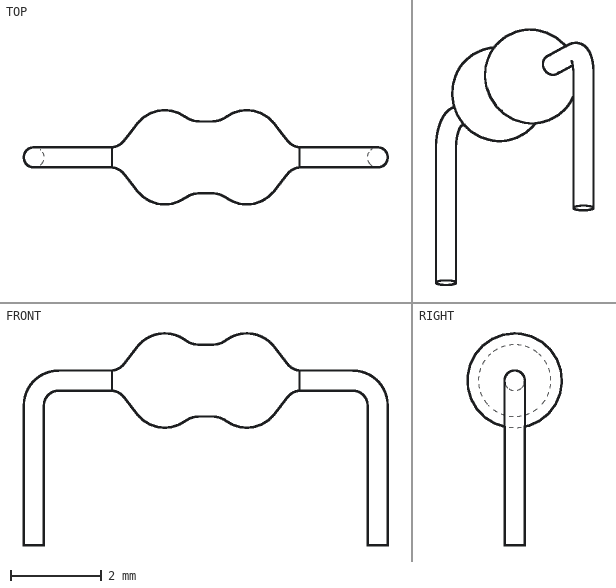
import cadquery as cq
import math

lead_diameter = 0.45
lead_pitch = 7.62
bend_radius = 0.55
lead_drop = 3.65

waist_radius = 0.8
waist_half_length = 0.155
lobe_peak_radius = 1.05
lobe_arc_radius = 0.77
lobe_center_x = 0.91
lobe_crown_half_length = 0.15
lobe_inner_x = 0.455
lobe_outer_x = 1.52
cone_end_x = 1.81
body_half_length = 2.08

lead_radius = lead_diameter / 2
lobe_arc_height = lobe_peak_radius - lobe_arc_radius


def lobe_point(x):
    """Point on the lobe arc at position x along the body axis."""
    return x, lobe_arc_height + math.sqrt(lobe_arc_radius**2 - (x - lobe_center_x) ** 2)


def lobe_arc(outline, end_x):
    """Continue the outline along the lobe arc, which is centred on lobe_center_x, to end_x."""
    start_x = outline.val().endPoint().x
    return outline.threePointArc(lobe_point((start_x + end_x) / 2), lobe_point(end_x))


def make_body():
    cone_start_x, cone_start_radius = lobe_point(lobe_outer_x)
    cone_slope = (lobe_outer_x - lobe_center_x) / (cone_start_radius - lobe_arc_height)
    cone_end_radius = cone_start_radius - (cone_end_x - cone_start_x) * cone_slope

    outline = cq.Workplane("XZ").moveTo(-waist_half_length, waist_radius)
    outline = outline.lineTo(waist_half_length, waist_radius)
    outline = outline.tangentArcPoint(lobe_point(lobe_inner_x), relative=False)
    outline = lobe_arc(outline, lobe_center_x - lobe_crown_half_length)
    outline = lobe_arc(outline, lobe_center_x + lobe_crown_half_length)
    outline = lobe_arc(outline, lobe_outer_x)
    outline = outline.lineTo(cone_end_x, cone_end_radius)
    outline = outline.tangentArcPoint((body_half_length, lead_radius), relative=False)
    outline = outline.lineTo(body_half_length, 0).lineTo(-waist_half_length, 0).close()
    half = outline.revolve(360, (0, 0, 0), (1, 0, 0))
    return half.union(half.mirror("YZ"))


def make_lead(side):
    """Wire from the body end, bent down to its tip; side is -1 or +1 along X."""
    leg_x = lead_pitch / 2
    bend_start_x = leg_x - bend_radius
    bend_middle = bend_radius * math.sin(math.radians(45))
    path = (
        cq.Workplane("XZ")
        .moveTo(side * body_half_length, 0)
        .lineTo(side * bend_start_x, 0)
        .threePointArc(
            (side * (bend_start_x + bend_middle), bend_middle - bend_radius),
            (side * leg_x, -bend_radius),
        )
        .lineTo(side * leg_x, -lead_drop)
    )
    section = cq.Workplane("YZ", origin=(side * body_half_length, 0, 0)).circle(lead_radius)
    return section.sweep(path)


body = make_body()
leads = [make_lead(side) for side in (-1, 1)]

result = cq.Compound.makeCompound([body.val(), *(lead.val() for lead in leads)])